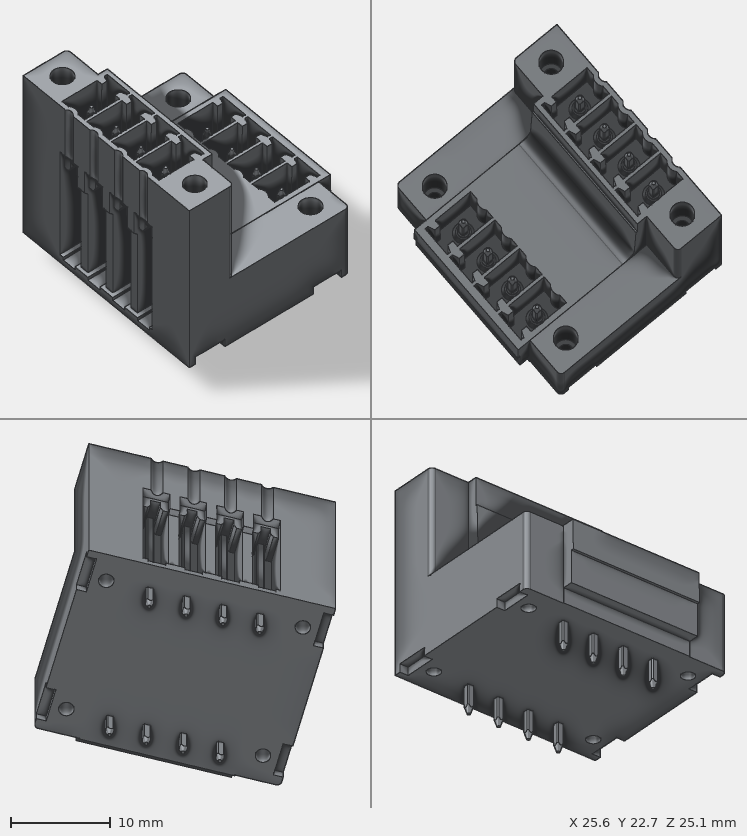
import cadquery as cq
import math


ways = 4
pitch = 3.82
way_xs = [(index - (ways - 1) / 2) * pitch for index in range(ways)]
front_row_y = 2.95
rear_row_y = 18.2

housing_width = 25.63
housing_height = 21.85
shelf_height = 9.2
flange_shelf_height = 9.15
core_width = 16.15
core_depth = 22.7
flange_depth = 21.1
tall_flange_depth = 5.82
flange_corner_radius = 0.5

core_step_z = 5.65
core_step = 0.3
core_rear_lean = 0.08
core_toe_depth = 21.17
core_underside_z = 1.8

tower_top_depth = 7.05
tower_step_drop = 3.33
tower_step_depth = 7.23
tower_foot_depth = 7.48
tower_fillet = 1.55

cavity_width = 3.45
cavity_depth = 6.15
cavity_back = 3.55
cavity_front = 2.38
key_reach = 0.72
key_start = 0.38
key_shoulder = 0.67
key_end = 1.33
key_draft = 0.08
bulge_half_width = 0.75
bulge_height = 0.3
collar_base_radius = 1.1
collar_shoulder_radius = 0.8
collar_top_radius = 0.62
collar_shoulder_height = 0.5
collar_height = 0.77

pin_side = 0.8
pin_edge_chamfer = 0.13
pin_drop = 3.23
pin_tip_recess = 0.97
tip_radius = 0.18
tip_length = 1.13

mount_x = 10.2
mount_bore = 1.55
mount_counterbore = 2.49
mount_counterbore_depth = 6.15

notch_height = 1.0
notch_reach = 1.03
rear_notch = (16.35, 20.05)
front_notch = (0.8, 4.7)

window_width = 2.77
window_offset = -0.05
window_floor_z = 1.08
window_top_z = 15.38
web_top_z = 12.45
lintel_setback = 0.62
web_setback = 0.45
lintel_bottom_z = 12.82
channel_width = 1.82
channel_floor_z = 0.7
slot_width = 1.0
slot_top_z = 14.33
slot_mouth_width = 1.6
slot_mouth_height = 0.55
window_depth = front_row_y + slot_width / 2
groove_half_width = 0.62
groove_depth = 0.3


def box(x_min, x_max, y_min, y_max, z_min, z_max):
    """Box given by its limits along each axis."""
    return (
        cq.Workplane("XY")
        .box(x_max - x_min, y_max - y_min, z_max - z_min, centered=False)
        .translate((x_min, y_min, z_min))
    )


def centered_box(x, width, y_min, y_max, z_min, z_max):
    """Box centered on x."""
    return box(x - width / 2, x + width / 2, y_min, y_max, z_min, z_max)


def flange_block(depth, z_max):
    """Full-width block with its rear vertical edges rounded."""
    block = centered_box(0, housing_width, 0, depth, 0, z_max)
    return block.edges("|Z and >Y").fillet(flange_corner_radius)


def core():
    """L-shaped central block with its stepped rear wall and leaning tower."""
    profile = (
        cq.Workplane("YZ")
        .polyline([
            (0, 0),
            (core_toe_depth, 0),
            (core_toe_depth, core_underside_z),
            (core_depth - core_step, core_underside_z),
            (core_depth - core_step, core_step_z),
            (core_depth, core_step_z),
            (core_depth - core_rear_lean, shelf_height),
            (tower_foot_depth, shelf_height),
            (tower_step_depth, housing_height - tower_step_drop),
            (tower_top_depth, housing_height - tower_step_drop),
            (tower_top_depth, housing_height),
            (0, housing_height),
        ])
        .close()
        .extrude(core_width / 2, both=True)
    )
    inner_corner = cq.selectors.NearestToPointSelector((0, tower_foot_depth, shelf_height))
    return profile.edges("|X").edges(inner_corner).fillet(tower_fillet)


def cavity(x, row_y, rim_z):
    """Keyed socket around one pin, open at the top, with a conical collar left on its floor."""
    half = cavity_width / 2
    back = cavity_back
    outline = (
        cq.Workplane("XY")
        .moveTo(-half, -cavity_front)
        .lineTo(-bulge_half_width, -cavity_front)
        .threePointArc((0, bulge_height - cavity_front), (bulge_half_width, -cavity_front))
        .lineTo(half, -cavity_front)
        .lineTo(half, back - key_end)
        .lineTo(half - key_reach, back - key_end)
        .lineTo(half - key_reach, back - key_shoulder)
        .lineTo(half, back - key_start)
        .lineTo(half, back)
        .lineTo(-half, back)
        .lineTo(-half, back - key_start)
        .lineTo(key_reach - half, back - key_shoulder)
        .lineTo(key_reach - half, back - key_end)
        .lineTo(-half, back - key_end)
        .close()
    )
    socket = outline.extrude(cavity_depth).cut(collar()).cut(key_drafts())
    return socket.translate((x, row_y, rim_z - cavity_depth))


def collar():
    """Cone with a short round neck that surrounds the pin on the cavity floor."""
    profile = (
        cq.Workplane("XZ")
        .polyline([
            (0, 0),
            (collar_base_radius, 0),
            (collar_shoulder_radius, collar_shoulder_height),
            (collar_top_radius, collar_shoulder_height),
            (collar_top_radius, collar_height),
            (0, collar_height),
        ])
        .close()
    )
    return profile.revolve(360, (0, 0, 0), (0, 1, 0))


def key_drafts():
    """Wedges that make the front faces of both keys slope towards the cavity floor."""
    face_y = cavity_back - key_end
    half = cavity_width / 2
    wedge = (
        cq.Workplane("YZ", origin=(-half, 0, 0))
        .polyline([(face_y, 0), (face_y - key_draft, 0), (face_y, cavity_depth)])
        .close()
        .extrude(key_reach)
    )
    return wedge.union(wedge.mirror("YZ"))


def sloped_recess(x, width, depth, z_min, z_max):
    """Recess in the front wall whose ceiling falls at 45 degrees towards the back."""
    return (
        cq.Workplane("YZ", origin=(x, 0, 0))
        .polyline([(0, z_min), (depth, z_min), (depth, z_max - depth), (0, z_max)])
        .close()
        .extrude(width / 2, both=True)
    )


def window(x):
    """Front opening of one way: pocket, floor channel and flared pin slot in the lintel."""
    center_x = x + window_offset
    recess = sloped_recess(center_x, window_width, lintel_setback, window_floor_z, window_top_z)
    pocket = centered_box(center_x, window_width, 0, window_depth, window_floor_z, lintel_bottom_z)
    channel = centered_box(x, channel_width, 0, window_depth, channel_floor_z, window_floor_z)
    mouth_top_z = lintel_bottom_z + slot_mouth_height
    slot = (
        cq.Workplane("XZ", origin=(x, 0, 0))
        .polyline([
            (-slot_mouth_width / 2, lintel_bottom_z),
            (slot_mouth_width / 2, lintel_bottom_z),
            (slot_width / 2, mouth_top_z),
            (slot_width / 2, slot_top_z),
            (-slot_width / 2, slot_top_z),
            (-slot_width / 2, mouth_top_z),
        ])
        .close()
        .extrude(-window_depth)
    )
    return recess.union(pocket).union(channel).union(slot)


def front_groove(x):
    """Shallow round groove running from a window up to the rim."""
    return (
        cq.Workplane("XY", origin=(x, 0, window_top_z - lintel_setback))
        .moveTo(-groove_half_width, 0)
        .threePointArc((0, groove_depth), (groove_half_width, 0))
        .close()
        .extrude(housing_height - window_top_z + lintel_setback)
    )


def mounting_hole(x, y, rim_z):
    """Through bore with a counterbore from the flange top."""
    bore = cq.Workplane("XY", origin=(x, y, 0)).circle(mount_bore / 2).extrude(rim_z)
    counterbore = (
        cq.Workplane("XY", origin=(x, y, rim_z))
        .circle(mount_counterbore / 2)
        .extrude(-mount_counterbore_depth)
    )
    return bore.union(counterbore)


def side_notch(side, y_range):
    """Notch in the bottom edge of one flange; side is -1 or +1."""
    x = side * (housing_width - notch_reach) / 2
    return centered_box(x, notch_reach, *y_range, 0, notch_height)


def pin(x, row_y, rim_z):
    """Square pin with chamfered edges and conical ends."""
    bottom_z = -pin_drop
    top_z = rim_z - pin_tip_recess
    bar = (
        centered_box(x, pin_side, row_y - pin_side / 2, row_y + pin_side / 2, bottom_z, top_z)
        .edges("|Z")
        .chamfer(pin_edge_chamfer)
    )
    corner_radius = pin_side / math.sqrt(2)
    envelope = (
        cq.Workplane("XZ")
        .polyline([
            (0, bottom_z),
            (tip_radius, bottom_z),
            (corner_radius, bottom_z + tip_length),
            (corner_radius, top_z - tip_length),
            (tip_radius, top_z),
            (0, top_z),
        ])
        .close()
        .revolve(360, (0, 0, 0), (0, 1, 0))
        .translate((x, row_y, 0))
    )
    return bar.intersect(envelope)


rows = [(front_row_y, housing_height), (rear_row_y, shelf_height)]
pins = [pin(x, row_y, rim_z) for row_y, rim_z in rows for x in way_xs]

housing = (
    flange_block(flange_depth, flange_shelf_height)
    .union(flange_block(tall_flange_depth, housing_height))
    .union(core())
)
for row_y, rim_z in rows:
    for x in way_xs:
        housing = housing.cut(cavity(x, row_y, rim_z))
    for side in (-1, 1):
        housing = housing.cut(mounting_hole(side * mount_x, row_y, rim_z))

for x in way_xs:
    housing = housing.cut(window(x)).cut(front_groove(x))
for left_x, right_x in zip(way_xs, way_xs[1:]):
    web_x = (left_x + right_x) / 2 + window_offset
    housing = housing.cut(
        sloped_recess(web_x, pitch - window_width, web_setback, window_floor_z, web_top_z)
    )
for side in (-1, 1):
    housing = housing.cut(side_notch(side, front_notch)).cut(side_notch(side, rear_notch))
for contact in pins:
    housing = housing.cut(contact)

result = cq.Compound.makeCompound([housing.val(), *[contact.val() for contact in pins]])